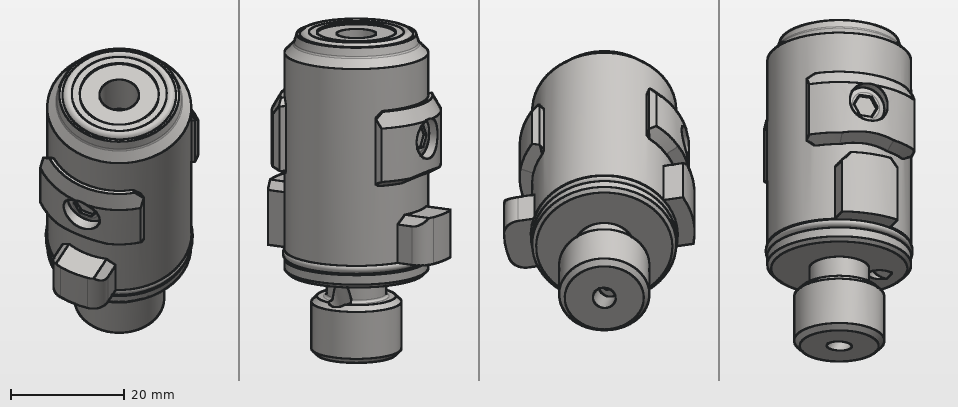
import cadquery as cq
import math

HEAD_TOP = 10.5
COLLAR_BOTTOM = 14.95
GROOVE_BOTTOM = 17.35
BARREL_BOTTOM = 19.05
BARREL_TOP = 54.85
NOSE_BLEND_HEIGHT = 0.35
TOTAL_HEIGHT = 58.8

HEAD_DIAMETER = 16.0
SHANK_DIAMETER = 10.6
BARREL_DIAMETER = 25.5
GROOVE_DIAMETER = 23.0
NOSE_BEVEL_DIAMETER = 22.45
NOSE_CONE_DIAMETER = 22.1
NOSE_TOP_DIAMETER = 21.15

HEAD_CHAMFER = 1.0
SHANK_FILLET = 0.5
COLLAR_CHAMFER = 0.7

BEAD_OUTER_HEIGHT = 0.6
BEAD_INNER_HEIGHT = 0.25
BEAD_INNER_DIAMETER = 16.8
BEAD_CREST_DIAMETER = 18.1
BEAD_OUTER_DIAMETER = 20.1

RECESS_DIAMETER = 14.0
RECESS_DEPTH = 0.3
BORE_DIAMETER = 7.0
BORE_DEPTH = 8.25
DRILL_POINT_ANGLE = 118.0
CROSS_HOLE_DIAMETER = 3.0
CROSS_HOLE_DEPTH = 3.65
CROSS_HOLE_REACH = 7.05

SLANT_HOLE_DIAMETER = 4.0
SLANT_HOLE_ANGLE = 27.5
SLANT_HOLE_LENGTH = 17.65

LUG_RADIUS = 15.0
LUG_ROOT_DEPTH = 2.35
LUG_HALF_WIDTH = 10.0
LUG_BOTTOM = 33.35
LUG_TOP = 47.05
LUG_TOP_BEVEL = 2.65
LUG_BOTTOM_BEVEL = 1.35
LUG_BEVEL_ANGLE = 30.0
LUG_SIDE_DEPTH = 9.9
LUG_SLANT_ANGLE = 30.0
LUG_SLANT_LENGTH = 3.5
LUG_UPPER_CHAMFER = 1.25
LUG_LOWER_CHAMFER = 0.7
LUG_FLAT_RISE = 0.45

SCREW_HOLE_DIAMETER = 7.2
SCREW_HOLE_HEIGHT = 41.0
SCREW_FACE_RADIUS = 12.9
SCREW_CROWN_DIAMETER = 5.2
SCREW_CROWN_HEIGHT = 0.25
SOCKET_FLATS = 3.9
SOCKET_DEPTH = 0.6

KEY_WIDTH = 10.5
KEY_CHAMFER = 1.5
FRONT_KEY_RADIUS = 17.75
FRONT_KEY_TOP = 27.6
FRONT_KEY_FILLET = 3.0
BACK_KEY_RADIUS = 16.0
BACK_KEY_TOP = 30.6

SEAL_SECTION_DIAMETER = 1.5

HEAD_RADIUS = HEAD_DIAMETER / 2
SHANK_RADIUS = SHANK_DIAMETER / 2
BARREL_RADIUS = BARREL_DIAMETER / 2
GROOVE_RADIUS = GROOVE_DIAMETER / 2
NOSE_TOP = TOTAL_HEIGHT - BEAD_OUTER_HEIGHT
TOP_FACE = TOTAL_HEIGHT - BEAD_INNER_HEIGHT
RECESS_FLOOR = TOP_FACE - RECESS_DEPTH
ROOT_RADIUS = BARREL_RADIUS - LUG_ROOT_DEPTH
KEY_HALF_WIDTH = KEY_WIDTH / 2


def turned_body():
    """Head, neck, grooved barrel and nose as one revolved profile."""
    bevel_radius = NOSE_BEVEL_DIAMETER / 2
    bevel_top = BARREL_TOP + BARREL_RADIUS - bevel_radius
    fillet_middle = SHANK_FILLET * (1 - math.sqrt(0.5))
    profile = (
        cq.Workplane("XZ")
        .moveTo(0, 0)
        .lineTo(HEAD_RADIUS - HEAD_CHAMFER, 0)
        .lineTo(HEAD_RADIUS, HEAD_CHAMFER)
        .lineTo(HEAD_RADIUS, HEAD_TOP - HEAD_CHAMFER)
        .lineTo(HEAD_RADIUS - HEAD_CHAMFER, HEAD_TOP)
        .lineTo(SHANK_RADIUS + SHANK_FILLET, HEAD_TOP)
        .threePointArc(
            (SHANK_RADIUS + fillet_middle, HEAD_TOP + fillet_middle),
            (SHANK_RADIUS, HEAD_TOP + SHANK_FILLET),
        )
        .lineTo(SHANK_RADIUS, COLLAR_BOTTOM)
        .lineTo(BARREL_RADIUS - COLLAR_CHAMFER, COLLAR_BOTTOM)
        .lineTo(BARREL_RADIUS, COLLAR_BOTTOM + COLLAR_CHAMFER)
        .lineTo(BARREL_RADIUS, GROOVE_BOTTOM)
        .lineTo(GROOVE_RADIUS, GROOVE_BOTTOM)
        .lineTo(GROOVE_RADIUS, BARREL_BOTTOM)
        .lineTo(BARREL_RADIUS, BARREL_BOTTOM)
        .lineTo(BARREL_RADIUS, BARREL_TOP)
        .lineTo(bevel_radius, bevel_top)
        .tangentArcPoint((NOSE_CONE_DIAMETER / 2, bevel_top + NOSE_BLEND_HEIGHT), relative=False)
        .lineTo(NOSE_TOP_DIAMETER / 2, NOSE_TOP)
        .lineTo(BEAD_OUTER_DIAMETER / 2, NOSE_TOP)
        .threePointArc((BEAD_CREST_DIAMETER / 2, TOTAL_HEIGHT), (BEAD_INNER_DIAMETER / 2, TOP_FACE))
        .lineTo(0, TOP_FACE)
        .close()
    )
    return profile.revolve(360, (0, 0), (0, 1))


def lug():
    """Curved lug on the -Y side, bevelled above and below and undercut at both ends."""
    slope = math.tan(math.radians(LUG_BEVEL_ANGLE))
    band = (
        cq.Workplane("XZ")
        .polyline([
            (ROOT_RADIUS, LUG_BOTTOM),
            (LUG_RADIUS - LUG_BOTTOM_BEVEL / slope, LUG_BOTTOM),
            (LUG_RADIUS, LUG_BOTTOM + LUG_BOTTOM_BEVEL),
            (LUG_RADIUS, LUG_TOP - LUG_TOP_BEVEL),
            (LUG_RADIUS - LUG_TOP_BEVEL * slope, LUG_TOP),
            (ROOT_RADIUS, LUG_TOP),
        ])
        .close()
        .revolve(360, (0, 0), (0, 1))
    )

    slant_x = math.cos(math.radians(LUG_SLANT_ANGLE))
    slant_y = math.sin(math.radians(LUG_SLANT_ANGLE))
    inner_half_width = LUG_HALF_WIDTH - LUG_SLANT_LENGTH * slant_x
    inner_depth = LUG_SIDE_DEPTH - LUG_SLANT_LENGTH * slant_y
    outline = (
        cq.Workplane("XY", origin=(0, 0, LUG_BOTTOM))
        .polyline([
            (-LUG_HALF_WIDTH, -LUG_RADIUS),
            (LUG_HALF_WIDTH, -LUG_RADIUS),
            (LUG_HALF_WIDTH, -LUG_SIDE_DEPTH),
            (inner_half_width, -inner_depth),
            (-inner_half_width, -inner_depth),
            (-LUG_HALF_WIDTH, -LUG_SIDE_DEPTH),
        ])
        .close()
        .extrude(LUG_TOP - LUG_BOTTOM)
    )
    for side in (-1, 1):
        slanted = cq.selectors.ParallelDirSelector(cq.Vector(side * slant_x, -slant_y, 0))
        outline = outline.faces(">Z").edges(slanted).chamfer(LUG_UPPER_CHAMFER)
        outline = outline.faces("<Z").edges(slanted).chamfer(LUG_LOWER_CHAMFER)

    flat_outer = LUG_BOTTOM + LUG_BOTTOM_BEVEL + LUG_FLAT_RISE
    flat_inner = flat_outer - (LUG_RADIUS - ROOT_RADIUS) * slope
    flat_cutter = (
        cq.Workplane("YZ")
        .polyline([
            (-LUG_RADIUS, flat_outer),
            (-ROOT_RADIUS, flat_inner),
            (-LUG_RADIUS, flat_inner),
        ])
        .close()
        .extrude(LUG_HALF_WIDTH, both=True)
    )
    return band.intersect(outline).cut(flat_cutter)


def screw_hole():
    """Round hole from the -Y side whose floor is a low conical crown with a hexagon socket."""
    hole_radius = SCREW_HOLE_DIAMETER / 2
    crown_radius = SCREW_CROWN_DIAMETER / 2
    crown_face = SCREW_FACE_RADIUS + SCREW_CROWN_HEIGHT
    hole = (
        cq.Workplane("XY", origin=(0, 0, SCREW_HOLE_HEIGHT))
        .polyline([
            (0, -crown_face),
            (crown_radius, -crown_face),
            (hole_radius, -SCREW_FACE_RADIUS),
            (hole_radius, -LUG_RADIUS),
            (0, -LUG_RADIUS),
        ])
        .close()
        .revolve(360, (0, 0), (0, 1))
    )
    socket_corners = SOCKET_FLATS / math.cos(math.pi / 6)
    socket = (
        cq.Workplane("XZ", origin=(0, -crown_face, SCREW_HOLE_HEIGHT))
        .polygon(6, socket_corners)
        .extrude(-SOCKET_DEPTH)
    )
    return hole.union(socket)


def key(radius, top, direction):
    """Key with a rounded end and bevelled top corners; direction is -1 for -Y and 1 for +Y."""
    height = top - BARREL_BOTTOM
    shoulder = KEY_HALF_WIDTH - KEY_CHAMFER
    front_shape = (
        cq.Workplane("XZ")
        .polyline([
            (-KEY_HALF_WIDTH, BARREL_BOTTOM),
            (KEY_HALF_WIDTH, BARREL_BOTTOM),
            (KEY_HALF_WIDTH, top - KEY_CHAMFER),
            (shoulder, top),
            (-shoulder, top),
            (-KEY_HALF_WIDTH, top - KEY_CHAMFER),
        ])
        .close()
        .extrude(-direction * radius)
    )
    round_end = cq.Workplane("XY", origin=(0, 0, BARREL_BOTTOM)).circle(radius).extrude(height)
    return front_shape.intersect(round_end)


def front_key():
    """Key on the -Y side whose plan outline has tangent fillets at the outer corners."""
    fillet_x = KEY_HALF_WIDTH - FRONT_KEY_FILLET
    fillet_y = math.sqrt((FRONT_KEY_RADIUS - FRONT_KEY_FILLET) ** 2 - fillet_x**2)
    reach = FRONT_KEY_RADIUS / (FRONT_KEY_RADIUS - FRONT_KEY_FILLET)
    end_x = fillet_x * reach
    end_y = fillet_y * reach
    middle_angle = math.atan2(fillet_y, fillet_x) / 2
    middle_x = fillet_x + FRONT_KEY_FILLET * math.cos(middle_angle)
    middle_y = fillet_y + FRONT_KEY_FILLET * math.sin(middle_angle)
    outline = (
        cq.Workplane("XY", origin=(0, 0, BARREL_BOTTOM))
        .moveTo(KEY_HALF_WIDTH, 0)
        .lineTo(KEY_HALF_WIDTH, -fillet_y)
        .threePointArc((middle_x, -middle_y), (end_x, -end_y))
        .threePointArc((0, -FRONT_KEY_RADIUS), (-end_x, -end_y))
        .threePointArc((-middle_x, -middle_y), (-KEY_HALF_WIDTH, -fillet_y))
        .lineTo(-KEY_HALF_WIDTH, 0)
        .close()
        .extrude(FRONT_KEY_TOP - BARREL_BOTTOM)
    )
    return key(FRONT_KEY_RADIUS, FRONT_KEY_TOP, -1).intersect(outline)


def top_bore():
    """Shallow recess, conical-bottomed bore and the cross hole leaving it toward +X."""
    bore_radius = BORE_DIAMETER / 2
    bore_floor = RECESS_FLOOR - BORE_DEPTH
    point_height = bore_radius / math.tan(math.radians(DRILL_POINT_ANGLE / 2))
    recess_radius = RECESS_DIAMETER / 2
    bore = (
        cq.Workplane("XZ")
        .polyline([
            (0, bore_floor - point_height),
            (bore_radius, bore_floor),
            (bore_radius, RECESS_FLOOR),
            (recess_radius, RECESS_FLOOR),
            (recess_radius, TOTAL_HEIGHT),
            (0, TOTAL_HEIGHT),
        ])
        .close()
        .revolve(360, (0, 0), (0, 1))
    )
    cross_hole = (
        cq.Workplane("YZ", origin=(0, 0, RECESS_FLOOR - CROSS_HOLE_DEPTH))
        .circle(CROSS_HOLE_DIAMETER / 2)
        .extrude(CROSS_HOLE_REACH)
    )
    return bore.union(cross_hole)


def slanted_hole():
    """Blind hole from the centre of the underside, rising toward -X past the neck into the collar."""
    tilt = math.radians(SLANT_HOLE_ANGLE)
    direction = cq.Vector(-math.sin(tilt), 0, math.cos(tilt))
    overshoot = SLANT_HOLE_DIAMETER
    start = direction * -overshoot
    length = SLANT_HOLE_LENGTH + overshoot
    return cq.Workplane(cq.Solid.makeCylinder(SLANT_HOLE_DIAMETER / 2, length, start, direction))


def make_body():
    """Turned body with its keys and lugs, drilled and bored."""
    body = turned_body()
    body = body.union(front_key())
    body = body.union(key(BACK_KEY_RADIUS, BACK_KEY_TOP, 1))
    for angle in (0, 180):
        body = body.union(lug().rotate((0, 0, 0), (0, 0, 1), angle))
        body = body.cut(screw_hole().rotate((0, 0, 0), (0, 0, 1), angle))
    return body.cut(top_bore()).cut(slanted_hole())


def make_seal_ring():
    """Round-section ring seated on the groove floor, against the upper groove wall."""
    section_radius = SEAL_SECTION_DIAMETER / 2
    ring_radius = GROOVE_RADIUS + section_radius
    return (
        cq.Workplane("XZ")
        .center(ring_radius, BARREL_BOTTOM - section_radius)
        .circle(section_radius)
        .revolve(360, (-ring_radius, 0), (-ring_radius, 1))
    )


body = make_body()
seal_ring = make_seal_ring()
result = cq.Compound.makeCompound([body.val(), seal_ring.val()])